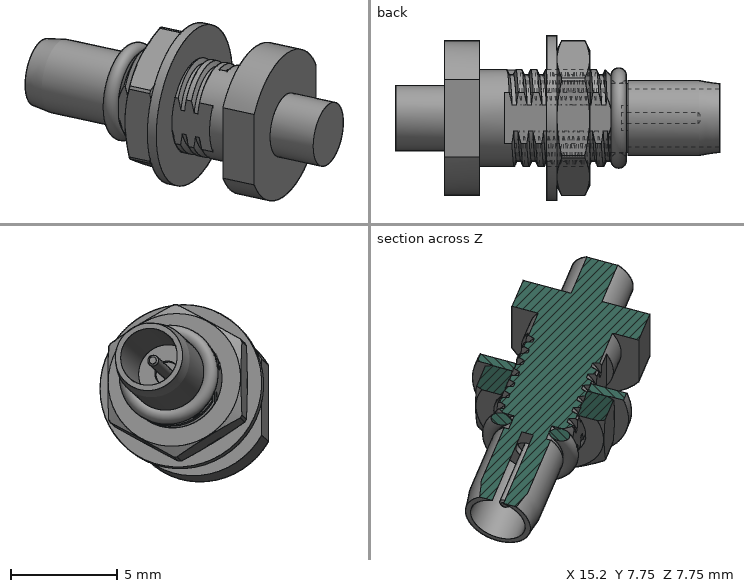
import cadquery as cq


overall_length = 15.24
nose_taper_end = 0.98
nose_end = 4.33
thread_start = 5.12
nut_start = 6.11
nut_end = 7.67
washer_end = 8.14
thread_flats_end = 10.13
flange_start = 11.3
flange_end = 12.95

nose_tip_radius = 1.62
nose_radius = 1.77
neck_radius = 1.63
thread_radius = 2.29
thread_root_radius = 2.04
thread_lead_in = 0.29
thread_half_flats = 1.95
flange_radius = 3.64
flange_half_flats = 3.15
tail_radius = 1.54

thread_pitch = 0.7
thread_turns = 7
groove_end = 9.81
groove_end_angle = 97.0
groove_root_width = 0.2
groove_crest_width = 0.43
groove_overshoot = 0.05

socket_radius = 1.35
socket_floor = nose_end
recess_radius = 0.58
recess_depth = 0.3
contact_radius = 0.26
contact_tip = 0.93
contact_chamfer = 0.09

ring_section_radius = 0.37
ring_centre = 4.75
ring_mean_radius = neck_radius + ring_section_radius

nut_across_flats = 6.39
nut_corner_radius = 3.64
nut_face_radius = 3.17
nut_chamfer_length = 0.23
washer_diameter = 7.75


def cylinder(start, end, radius):
    """Solid cylinder on the X axis between two stations."""
    return cq.Workplane("YZ", origin=(start, 0, 0)).circle(radius).extrude(end - start)


def revolved(points):
    """Turn an (x, radius) outline about the X axis."""
    return cq.Workplane("XY").polyline(points).close().revolve(360, (0, 0, 0), (1, 0, 0))


def flatted(start, end, radius, half_flats):
    """Cylinder with two flats facing +Y and -Y."""
    length = end - start
    slab = cq.Workplane("YZ", origin=(start, 0, 0)).rect(2 * half_flats, 2 * radius).extrude(length)
    return cylinder(start, end, radius).intersect(slab)


def make_thread_groove():
    """Helical cutter, swept along +Z from the origin and then laid along +X."""
    length = thread_turns * thread_pitch
    path = cq.Workplane(obj=cq.Wire.makeHelix(thread_pitch, length, thread_root_radius))
    groove_depth = thread_radius - thread_root_radius
    flank_slope = (groove_crest_width - groove_root_width) / 2 / groove_depth
    root_half = groove_root_width / 2
    outer_half = groove_crest_width / 2 + flank_slope * groove_overshoot
    outer_radius = thread_radius + groove_overshoot
    section = [
        (thread_root_radius, -root_half),
        (outer_radius, -outer_half),
        (outer_radius, outer_half),
        (thread_root_radius, root_half),
    ]
    groove = cq.Workplane("XZ").polyline(section).close().sweep(path, isFrenet=True)
    groove = groove.rotate((0, 0, 0), (0, 0, 1), groove_end_angle)
    groove = groove.rotate((0, 0, 0), (1, 1, 1), 120)
    return groove.translate((groove_end - length, 0, 0))


def make_threaded_sleeve():
    """Chamfered cylinder with two long flats and a helical groove."""
    blank = revolved([
        (thread_start, 0),
        (thread_start, thread_radius - thread_lead_in),
        (thread_start + thread_lead_in, thread_radius),
        (thread_flats_end, thread_radius),
        (thread_flats_end, 0),
    ])
    flats = flatted(thread_start, thread_flats_end, thread_radius, thread_half_flats)
    return blank.cut(make_thread_groove()).intersect(flats)


def make_body():
    nose = revolved([
        (0, 0),
        (0, nose_tip_radius),
        (nose_taper_end, nose_radius),
        (nose_end, nose_radius),
        (nose_end, neck_radius),
        (thread_start, neck_radius),
        (thread_start, 0),
    ])
    shank = cylinder(thread_flats_end, flange_start, thread_radius)
    flange = flatted(flange_start, flange_end, flange_radius, flange_half_flats)
    tail = cylinder(flange_end, overall_length, tail_radius)
    body = nose.union(make_threaded_sleeve()).union(shank).union(flange).union(tail)

    recess_floor = socket_floor + recess_depth
    body = body.cut(cylinder(0, socket_floor, socket_radius))
    body = body.cut(cylinder(socket_floor, recess_floor, recess_radius))
    contact = cylinder(contact_tip, recess_floor, contact_radius).faces("<X").chamfer(contact_chamfer)
    return body.union(contact)


def make_o_ring():
    section = cq.Workplane("XY").center(ring_centre, ring_mean_radius).circle(ring_section_radius)
    axis_start = (0, -ring_mean_radius, 0)
    axis_end = (1, -ring_mean_radius, 0)
    return section.revolve(360, axis_start, axis_end)


def make_nut():
    """Hexagon with corners toward +Z and -Z, turned down and chamfered on both faces."""
    blank = (
        cq.Workplane("YZ", origin=(nut_start, 0, 0))
        .polygon(6, nut_across_flats, circumscribed=True)
        .extrude(nut_end - nut_start)
    )
    turned = revolved([
        (nut_start, 0),
        (nut_start, nut_face_radius),
        (nut_start + nut_chamfer_length, nut_corner_radius),
        (nut_end - nut_chamfer_length, nut_corner_radius),
        (nut_end, nut_face_radius),
        (nut_end, 0),
    ])
    return blank.intersect(turned).cut(cylinder(nut_start, nut_end, thread_radius))


def make_washer():
    disc = cylinder(nut_end, washer_end, washer_diameter / 2)
    return disc.cut(cylinder(nut_end, washer_end, thread_radius))


body = make_body()
o_ring = make_o_ring()
nut = make_nut()
washer = make_washer()

bodies = [body, o_ring, nut, washer]
result = cq.Compound.makeCompound([part.solids().val() for part in bodies])